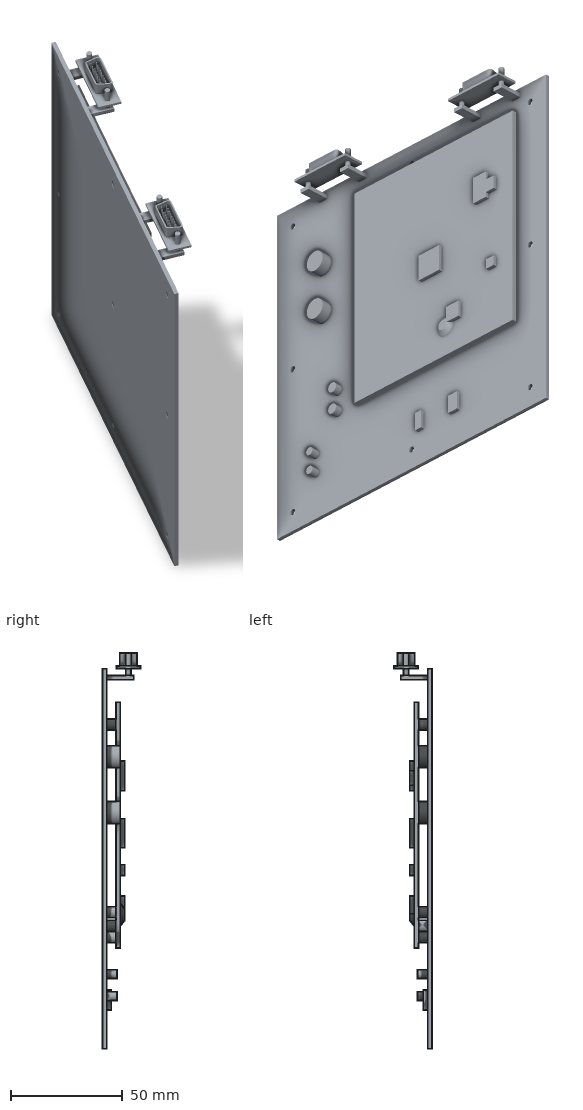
import cadquery as cq
PLATE_SIZE = 170.0
PLATE_THICKNESS = 2.0
PLATE_TOP = PLATE_SIZE / 2
MOUNT_HOLE_DIAMETER = 3.0
MOUNT_HOLE_PITCH = 75.0

BOARD_WIDTH = 100.0
BOARD_HEIGHT = 110.0
BOARD_THICKNESS = 2.0
BOARD_CENTER_X = -20.0
BOARD_CENTER_Z = 15.0
STANDOFF_DIAMETER = 5.0
STANDOFF_LENGTH = 4.0
STANDOFF_INSET_X = 15.0
STANDOFF_INSET_Z = 10.0
BOARD_FRONT = PLATE_THICKNESS + STANDOFF_LENGTH
BOARD_BACK = BOARD_FRONT + BOARD_THICKNESS

COMPONENT_HEIGHT = 2.0
BOARD_CHIPS = [
    (-37.7, -24.6, 7.7, 8.0),
    (-25.5, 4.9, 13.0, 13.0),
    (-55.0, 30.3, 8.0, 13.4),
    (-60.0, 32.8, 5.0, 6.6),
    (-60.0, -7.6, 5.0, 5.0),
]
CONE_X = -27.5
CONE_Z = -25.0
CONE_BASE_DIAMETER = 10.0
CONE_TOP_DIAMETER = 5.0
PLATE_CHIPS = [
    (-30.8, -67.7, 5.7, 9.1),
    (-8.1, -67.7, 3.8, 9.1),
]
PLATE_POSTS = [
    (55.1, 45.6, 10.0, 6.0),
    (55.1, 20.6, 10.0, 6.0),
    (46.1, -23.9, 5.0, 4.0),
    (46.1, -35.1, 5.0, 4.0),
    (60.0, -51.6, 4.0, 4.5),
    (60.0, -61.4, 4.0, 4.5),
]

CONNECTOR_CENTERS_X = (-54.0, 43.0)
FLANGE_WIDTH = 32.0
FLANGE_DEPTH = 10.8
FLANGE_THICKNESS = 1.2
FLANGE_BACK = 17.0
FLANGE_BOTTOM = PLATE_TOP
FLANGE_TOP = FLANGE_BOTTOM + FLANGE_THICKNESS
CONNECTOR_TOP = 92.0
CONNECTOR_Y = FLANGE_BACK - FLANGE_DEPTH / 2
SCREW_DIAMETER = 2.5
SCREW_SPACING = 25.0
TAB_WIDTH = 5.0
TAB_THICKNESS = 2.0
TAB_BOTTOM = 80.0
TAB_TOP = TAB_BOTTOM + TAB_THICKNESS
TAB_END = 14.0
SHELL_WIDE = 19.0
SHELL_NARROW = 15.3
SHELL_DEPTH = 7.8
SHELL_CORNER = 1.5
SHELL_WALL = 0.6
CONTACT_DIAMETER = 0.5
CONTACT_RECESS = 0.5
CONTACT_TOP = CONNECTOR_TOP - CONTACT_RECESS
CONTACTS_PER_ROW = 8
CONTACT_PITCH = 1.8
CONTACT_ROW_SPACING = 2.5


def block(x_range, y_range, z_range):
    """Box given by its extent along each axis."""
    (x0, x1), (y0, y1), (z0, z1) = x_range, y_range, z_range
    return cq.Workplane("XY").box(x1 - x0, y1 - y0, z1 - z0, centered=False).translate((x0, y0, z0))


def post(x, z, diameter, start_y, length):
    """Cylinder along +Y that stands on the face at start_y."""
    circle = cq.Workplane("XZ", origin=(x, start_y, z)).circle(diameter / 2)
    return circle.extrude(-length)


def chip(left, bottom, width, height, start_y):
    """Rectangular package that stands on the face at start_y."""
    return block((left, left + width), (start_y, start_y + COMPONENT_HEIGHT), (bottom, bottom + height))


def make_plate():
    half = PLATE_SIZE / 2
    plate = block((-half, half), (0, PLATE_THICKNESS), (-half, half))
    for column in (-1, 0, 1):
        for row in (-1, 0, 1):
            hole_x = column * MOUNT_HOLE_PITCH
            hole_z = row * MOUNT_HOLE_PITCH
            plate = plate.cut(post(hole_x, hole_z, MOUNT_HOLE_DIAMETER, 0, PLATE_THICKNESS))
    return plate


def make_plate_parts():
    parts = [chip(*size, PLATE_THICKNESS) for size in PLATE_CHIPS]
    for x, z, diameter, length in PLATE_POSTS:
        parts.append(post(x, z, diameter, PLATE_THICKNESS, length))
    return parts


def make_board():
    half_x = BOARD_WIDTH / 2
    half_z = BOARD_HEIGHT / 2
    board = block(
        (BOARD_CENTER_X - half_x, BOARD_CENTER_X + half_x),
        (BOARD_FRONT, BOARD_BACK),
        (BOARD_CENTER_Z - half_z, BOARD_CENTER_Z + half_z),
    )
    for side_x in (-1, 1):
        for side_z in (-1, 1):
            x = BOARD_CENTER_X + side_x * (half_x - STANDOFF_INSET_X)
            z = BOARD_CENTER_Z + side_z * (half_z - STANDOFF_INSET_Z)
            board = board.union(post(x, z, STANDOFF_DIAMETER, PLATE_THICKNESS, STANDOFF_LENGTH))
    return board


def make_board_parts():
    parts = [chip(*size, BOARD_BACK) for size in BOARD_CHIPS]
    cone = cq.Solid.makeCone(
        CONE_BASE_DIAMETER / 2,
        CONE_TOP_DIAMETER / 2,
        COMPONENT_HEIGHT,
        pnt=cq.Vector(CONE_X, BOARD_BACK, CONE_Z),
        dir=cq.Vector(0, 1, 0),
    )
    parts.append(cq.Workplane(obj=cone))
    return parts


def make_contacts(center_x):
    """Two rows of contact pins that stop just below the shell rim."""
    return (
        cq.Workplane("XY", origin=(center_x, CONNECTOR_Y, FLANGE_TOP))
        .rarray(CONTACT_PITCH, CONTACT_ROW_SPACING, CONTACTS_PER_ROW, 2)
        .circle(CONTACT_DIAMETER / 2)
        .extrude(CONTACT_TOP - FLANGE_TOP)
    )


def make_shell(center_x):
    """Thin D-shaped wall, wider at the back, standing on the flange."""
    half_depth = SHELL_DEPTH / 2
    outline = [
        (-SHELL_WIDE / 2, half_depth),
        (SHELL_WIDE / 2, half_depth),
        (SHELL_NARROW / 2, -half_depth),
        (-SHELL_NARROW / 2, -half_depth),
    ]
    shell = (
        cq.Workplane("XY", origin=(center_x, CONNECTOR_Y, FLANGE_TOP))
        .polyline(outline)
        .close()
        .extrude(CONNECTOR_TOP - FLANGE_TOP)
        .edges("|Z")
        .fillet(SHELL_CORNER)
    )
    return shell.faces("<Z or >Z").shell(-SHELL_WALL)


def make_connector(center_x):
    flange = block(
        (center_x - FLANGE_WIDTH / 2, center_x + FLANGE_WIDTH / 2),
        (FLANGE_BACK - FLANGE_DEPTH, FLANGE_BACK),
        (FLANGE_BOTTOM, FLANGE_TOP),
    )
    connector = flange.union(make_shell(center_x)).union(make_contacts(center_x))
    for side in (-1, 1):
        screw_x = center_x + side * SCREW_SPACING / 2
        tab = block(
            (screw_x - TAB_WIDTH / 2, screw_x + TAB_WIDTH / 2),
            (PLATE_THICKNESS, TAB_END),
            (TAB_BOTTOM, TAB_TOP),
        )
        screw = (
            cq.Workplane("XY", origin=(screw_x, CONNECTOR_Y, TAB_TOP))
            .circle(SCREW_DIAMETER / 2)
            .extrude(CONNECTOR_TOP - TAB_TOP)
        )
        connector = connector.union(tab).union(screw)
    return connector


result = make_plate().union(make_board())
for part in make_plate_parts() + make_board_parts():
    result = result.union(part)
for connector_x in CONNECTOR_CENTERS_X:
    result = result.union(make_connector(connector_x))